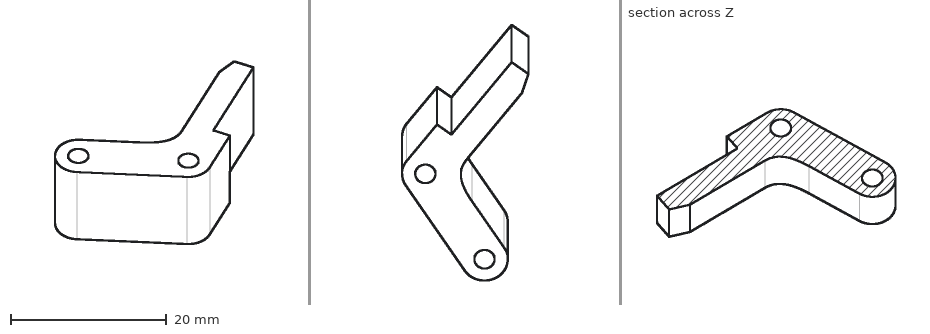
import cadquery as cq
import math

thickness = 12.0
overall_length = 27.04

arm_radius = 3.0
hole_diameter = 2.6
hole_spacing_x = 13.27
hole_spacing_y = 4.9

post_width = 3.67
tip_bevel_width = 0.95
tip_bevel_height = 2.6
shoulder_height = 6.4

blend_start_height = 4.7
blend_arm_length = 4.3
blend_post_pull = 2.2
blend_arm_pull = 2.3

arm_angle = math.atan2(hole_spacing_y, hole_spacing_x)
along_x = math.cos(arm_angle)
along_y = math.sin(arm_angle)
free_hole = (0.0, 0.0)
elbow_hole = (hole_spacing_x, hole_spacing_y)
post_left = elbow_hole[0] - arm_radius
post_right = post_left + post_width
shoulder_right = elbow_hole[0] + arm_radius
shoulder_y = elbow_hole[1] + shoulder_height
tip_y = overall_length - arm_radius


def on_round(center, angle):
    """Point on the arm-radius circle around a hole, at an angle in radians."""
    return (
        center[0] + arm_radius * math.cos(angle),
        center[1] + arm_radius * math.sin(angle),
    )


def along_arm(point, distance):
    """Shift a point along the arm, toward the elbow when positive."""
    return (point[0] + distance * along_x, point[1] + distance * along_y)


def make_bracket():
    upper_side = arm_angle + math.pi / 2
    lower_side = arm_angle - math.pi / 2
    upper_tangent = on_round(free_hole, upper_side)
    lower_tangent = on_round(free_hole, lower_side)
    elbow_tangent = on_round(elbow_hole, lower_side)

    corner = along_arm(upper_tangent, (post_left - upper_tangent[0]) / along_x)
    blend_post_end = (post_left, elbow_hole[1] + blend_start_height)
    blend_post_handle = (post_left, blend_post_end[1] - blend_post_pull)
    blend_arm_end = along_arm(corner, -blend_arm_length)
    blend_arm_handle = along_arm(blend_arm_end, blend_arm_pull)

    outline = (
        cq.Workplane("XY")
        .moveTo(*lower_tangent)
        .lineTo(*elbow_tangent)
        .threePointArc(on_round(elbow_hole, lower_side / 2), (shoulder_right, elbow_hole[1]))
        .lineTo(shoulder_right, shoulder_y)
        .lineTo(post_right, shoulder_y)
        .lineTo(post_right, tip_y)
        .lineTo(post_left + tip_bevel_width, tip_y)
        .lineTo(post_left, tip_y - tip_bevel_height)
        .lineTo(*blend_post_end)
        .bezier(
            [blend_post_handle, blend_arm_handle, blend_arm_end],
            includeCurrent=True,
        )
        .lineTo(*upper_tangent)
        .threePointArc(on_round(free_hole, arm_angle + math.pi), lower_tangent)
        .close()
    )
    return outline.extrude(thickness)


def cut_pivot_holes(body):
    holes = (
        cq.Workplane("XY")
        .pushPoints([free_hole, elbow_hole])
        .circle(hole_diameter / 2)
        .extrude(thickness)
    )
    return body.cut(holes)


result = cut_pivot_holes(make_bracket())